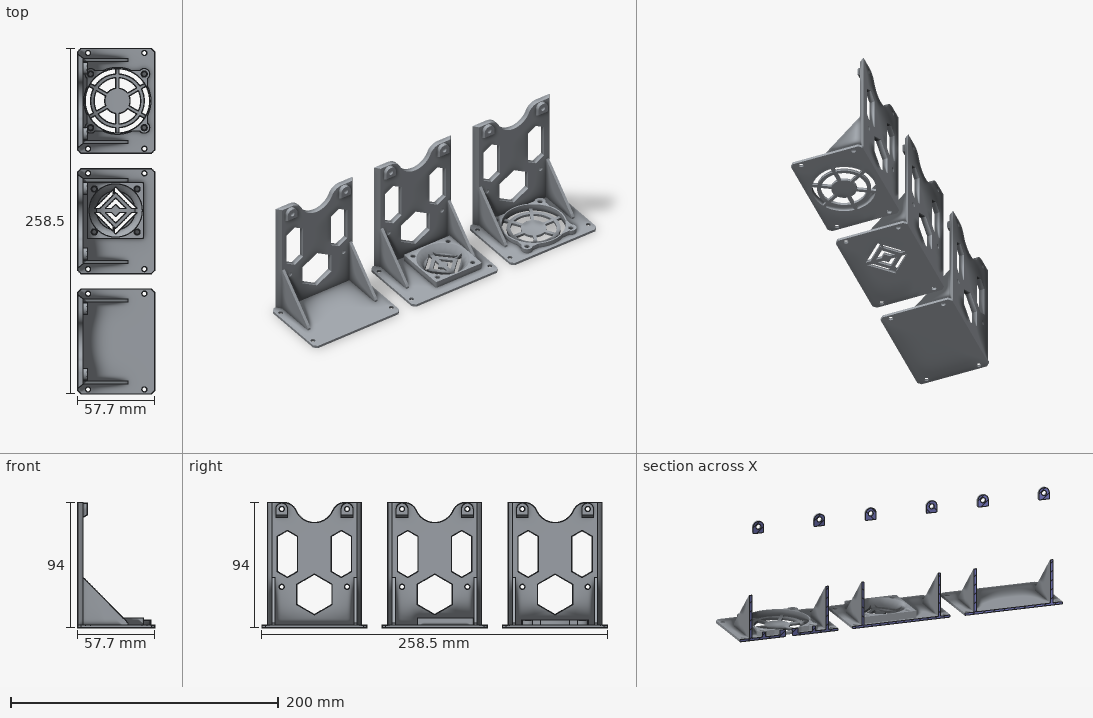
import cadquery as cq
import math


BASE_X = 57.7
BASE_Y = 78.5
BASE_T = 2.0
BASE_CHAMFER = 2.5
SCREW_D = 3.5
BASE_HOLE_X = 7.8
BASE_HOLE_PITCH_X = 42.2
BASE_HOLE_PITCH_Y = 71.6

ROW_Y = 258.5
PITCH = (ROW_Y - BASE_Y) / 2

WALL_H = 94.0
WALL_T = 4.1
WALL_OUTER_Y = 70.3
WALL_INNER_Y = 63.5
SCALLOP_R = 15.0
SHOULDER_R = 10.0
WALL_HOLE_PITCH_Y = 49.0
WALL_HOLE_TOP_Z = WALL_H - 5.0
WALL_HOLE_PITCH_Z = 58.2
BOSS_R = 4.5
BOSS_DEPTH = 3.0
BOSS_SUPPORT_DROP = 1.8
WINDOW_W = 15.0
WINDOW_H = 35.0
WINDOW_Y = 20.2
WINDOW_Z = 55.3
HEX_W = 26.0
HEX_Z = 25.0

GUSSET_T = 2.3
GUSSET_TOP_Z = 37.8
GUSSET_KNEE_X = 36.0
GUSSET_KNEE_Z = 5.7
GUSSET_END_X = 37.5
GUSSET_END_Z = 3.5

FAN_HOLE_D = SCREW_D
FAN_HOLE_MOUTH_D = 4.7

LARGE_X = 29.7
LARGE_Z = 6.0
LARGE_RIM_R = 25.0
LARGE_SQUARE = 45.3
LARGE_HOLE_PITCH = 40.0
LARGE_EAR_R = 4.1
LARGE_BORE_D = 48.0
GRILLE_RING_OUTER_R = 20.2
GRILLE_RING_INNER_R = 17.3
GRILLE_HUB_R = 9.5
SPOKE_W = 2.5
SPOKE_COUNT = 6

SMALL_X = 28.5
SMALL_Y = 8.0
SMALL_Z = 7.5
SMALL_SQUARE = 42.0
SMALL_CORNER_R = 1.3
SMALL_HOLE_PITCH = 32.0
CONE_TOP_R = 20.0
CONE_BOTTOM_R = 14.5
DIAMOND_HUB_R = 4.7
DIAMOND_INNER_SLOT_R = 9.3
DIAMOND_RING_R = 13.5
DIAMOND_OUTER_SLOT_R = 17.5
CROSS_BAR_W = 3.0
SIDE_BAR_X = -1.5
SIDE_BAR_W = 1.0


def base_plate():
    plate = (
        cq.Workplane("XY")
        .box(BASE_X, BASE_Y, BASE_T, centered=(False, True, False))
        .edges("|Z")
        .chamfer(BASE_CHAMFER)
    )
    holes = (
        cq.Workplane("XY")
        .center(BASE_HOLE_X + BASE_HOLE_PITCH_X / 2, 0)
        .rect(BASE_HOLE_PITCH_X, BASE_HOLE_PITCH_Y, forConstruction=True)
        .vertices()
        .circle(SCREW_D / 2)
        .extrude(BASE_T)
    )
    return plate.cut(holes)


def wall_blank():
    """Upright wall whose two side faces slant inward, away from its outer face."""
    return (
        cq.Workplane("XY")
        .moveTo(0, -WALL_OUTER_Y / 2)
        .lineTo(WALL_T, -WALL_INNER_Y / 2)
        .lineTo(WALL_T, WALL_INNER_Y / 2)
        .lineTo(0, WALL_OUTER_Y / 2)
        .close()
        .extrude(WALL_H)
    )


def scallop():
    """Half-round cut in the wall top, running out to the top edge through two rounded shoulders."""
    centre_distance = SCALLOP_R + SHOULDER_R
    shoulder_y = math.sqrt(centre_distance**2 - SHOULDER_R**2)
    shoulder_z = WALL_H - SHOULDER_R
    tangent_y = shoulder_y * SCALLOP_R / centre_distance
    tangent_z = WALL_H - SHOULDER_R * SCALLOP_R / centre_distance
    sweep = math.acos(SHOULDER_R / centre_distance)
    mid_y = shoulder_y - SHOULDER_R * math.sin(sweep / 2)
    mid_z = shoulder_z + SHOULDER_R * math.cos(sweep / 2)
    return (
        cq.Workplane("YZ")
        .moveTo(-shoulder_y, WALL_H)
        .threePointArc((-mid_y, mid_z), (-tangent_y, tangent_z))
        .threePointArc((0, WALL_H - SCALLOP_R), (tangent_y, tangent_z))
        .threePointArc((mid_y, mid_z), (shoulder_y, WALL_H))
        .close()
        .extrude(WALL_T)
    )


def pointed_window(width, height, y, z):
    """Opening with vertical sides and a 120 degree point at the top and bottom."""
    point = width / 2 * math.tan(math.radians(30))
    half_w = width / 2
    side = height / 2 - point
    return (
        cq.Workplane("YZ")
        .center(y, z)
        .polyline(
            [
                (0, height / 2),
                (half_w, side),
                (half_w, -side),
                (0, -height / 2),
                (-half_w, -side),
                (-half_w, side),
            ]
        )
        .close()
        .extrude(WALL_T)
    )


def screw_boss(y):
    """Round-topped boss on the inner wall face, its underside sloping down to the wall."""
    root_z = -BOSS_R - BOSS_SUPPORT_DROP
    blank = (
        cq.Workplane("YZ", origin=(WALL_T, y, WALL_HOLE_TOP_Z))
        .moveTo(-BOSS_R, 0)
        .threePointArc((0, BOSS_R), (BOSS_R, 0))
        .lineTo(BOSS_R, root_z)
        .lineTo(-BOSS_R, root_z)
        .close()
        .extrude(BOSS_DEPTH)
    )
    underside = (
        cq.Workplane("XZ", origin=(WALL_T, y, WALL_HOLE_TOP_Z))
        .moveTo(0, root_z)
        .lineTo(BOSS_DEPTH, -BOSS_R)
        .lineTo(BOSS_DEPTH, root_z)
        .close()
        .extrude(BOSS_R, both=True)
    )
    return blank.cut(underside)


def wall():
    body = wall_blank().cut(scallop())
    for side in (-1, 1):
        hole_y = side * WALL_HOLE_PITCH_Y / 2
        body = body.union(screw_boss(hole_y))
        body = body.cut(pointed_window(WINDOW_W, WINDOW_H, side * WINDOW_Y, WINDOW_Z))
        for hole_z in (WALL_HOLE_TOP_Z, WALL_HOLE_TOP_Z - WALL_HOLE_PITCH_Z):
            hole = (
                cq.Workplane("YZ")
                .center(hole_y, hole_z)
                .circle(SCREW_D / 2)
                .extrude(WALL_T + BOSS_DEPTH)
            )
            body = body.cut(hole)
    hex_height = HEX_W / math.cos(math.radians(30))
    return body.cut(pointed_window(HEX_W, hex_height, 0, HEX_Z))


def gusset(side):
    """Triangular web with a steeper, blunt tip, flush with the inner end of the wall on one side."""
    mid_y = side * (WALL_INNER_Y - GUSSET_T) / 2
    return (
        cq.Workplane("XZ", origin=(0, mid_y, 0))
        .moveTo(WALL_T, 0)
        .lineTo(GUSSET_END_X, 0)
        .lineTo(GUSSET_END_X, GUSSET_END_Z)
        .lineTo(GUSSET_KNEE_X, GUSSET_KNEE_Z)
        .lineTo(WALL_T, GUSSET_TOP_Z)
        .close()
        .extrude(GUSSET_T / 2, both=True)
    )


def bracket():
    body = base_plate().union(wall())
    for side in (-1, 1):
        body = body.union(gusset(side))
    return body


def fan_holes(x, y, pitch, top):
    """Four blind screw holes with chamfered mouths that stop at the top of the base."""
    depth = top - BASE_T
    mouth_chamfer = (FAN_HOLE_MOUTH_D - FAN_HOLE_D) / 2
    hole = (
        cq.Workplane("XZ")
        .polyline(
            [
                (0, 0),
                (FAN_HOLE_MOUTH_D / 2, 0),
                (FAN_HOLE_D / 2, -mouth_chamfer),
                (FAN_HOLE_D / 2, -depth),
                (0, -depth),
            ]
        )
        .close()
        .revolve(360, (0, 0, 0), (0, 1, 0))
    )
    return (
        cq.Workplane("XY", origin=(x, y, top))
        .rect(pitch, pitch, forConstruction=True)
        .vertices()
        .eachpoint(hole.val(), combine=False)
    )


def round_grille():
    """Hub, ring and spokes that close the large bore at base level."""
    grille = cq.Workplane("XY").circle(GRILLE_RING_OUTER_R).circle(GRILLE_RING_INNER_R).extrude(BASE_T)
    grille = grille.union(cq.Workplane("XY").circle(GRILLE_HUB_R).extrude(BASE_T))
    for index in range(SPOKE_COUNT // 2):
        spoke = cq.Workplane("XY").box(SPOKE_W, 2 * LARGE_RIM_R, BASE_T, centered=(True, True, False))
        grille = grille.union(spoke.rotate((0, 0, 0), (0, 0, 1), index * 360 / SPOKE_COUNT))
    return grille.translate((LARGE_X, 0, 0))


def large_fan_bracket():
    at_centre = cq.Workplane("XY", origin=(LARGE_X, 0, 0))
    rim = at_centre.circle(LARGE_RIM_R).extrude(LARGE_Z)
    rim = rim.union(at_centre.rect(LARGE_SQUARE, LARGE_SQUARE).extrude(LARGE_Z))
    ears = (
        at_centre.rect(LARGE_HOLE_PITCH, LARGE_HOLE_PITCH, forConstruction=True)
        .vertices()
        .circle(LARGE_EAR_R)
        .extrude(LARGE_Z)
    )
    body = bracket().union(rim).union(ears)
    body = body.cut(at_centre.circle(LARGE_BORE_D / 2).extrude(LARGE_Z))
    body = body.cut(fan_holes(LARGE_X, 0, LARGE_HOLE_PITCH, LARGE_Z))
    return body.union(round_grille())


def diamond(radius):
    """Square prism standing on its corner, through the full height of the small mount."""
    return cq.Workplane("XY").polygon(4, 2 * radius).extrude(SMALL_Z)


def diamond_slots():
    """Two diamond rings of slots, interrupted by a cross bar and a thin bar beside the centre."""
    inner = diamond(DIAMOND_INNER_SLOT_R).cut(diamond(DIAMOND_HUB_R))
    outer = diamond(DIAMOND_OUTER_SLOT_R).cut(diamond(DIAMOND_RING_R))
    span = 2 * DIAMOND_OUTER_SLOT_R
    side_bar = cq.Workplane("XY").center(SIDE_BAR_X, 0).rect(SIDE_BAR_W, span).extrude(SMALL_Z)
    cross_bar = cq.Workplane("XY").rect(span, CROSS_BAR_W).extrude(SMALL_Z)
    return outer.cut(side_bar).union(inner).cut(cross_bar)


def small_fan_bracket():
    centre = (SMALL_X, SMALL_Y, 0)
    mount = (
        cq.Workplane("XY", origin=centre)
        .rect(SMALL_SQUARE, SMALL_SQUARE)
        .extrude(SMALL_Z)
        .faces(">X")
        .edges("|Z")
        .fillet(SMALL_CORNER_R)
    )
    funnel = (
        cq.Workplane("XY", origin=(SMALL_X, SMALL_Y, BASE_T))
        .circle(CONE_BOTTOM_R)
        .workplane(offset=SMALL_Z - BASE_T)
        .circle(CONE_TOP_R)
        .loft()
    )
    body = bracket().union(mount).cut(funnel)
    body = body.cut(diamond_slots().translate(centre))
    return body.cut(fan_holes(SMALL_X, SMALL_Y, SMALL_HOLE_PITCH, SMALL_Z))


plain_bracket = bracket().translate((0, -PITCH, 0))
small_bracket = small_fan_bracket()
large_bracket = large_fan_bracket().translate((0, PITCH, 0))

result = cq.Compound.makeCompound([plain_bracket.val(), small_bracket.val(), large_bracket.val()])